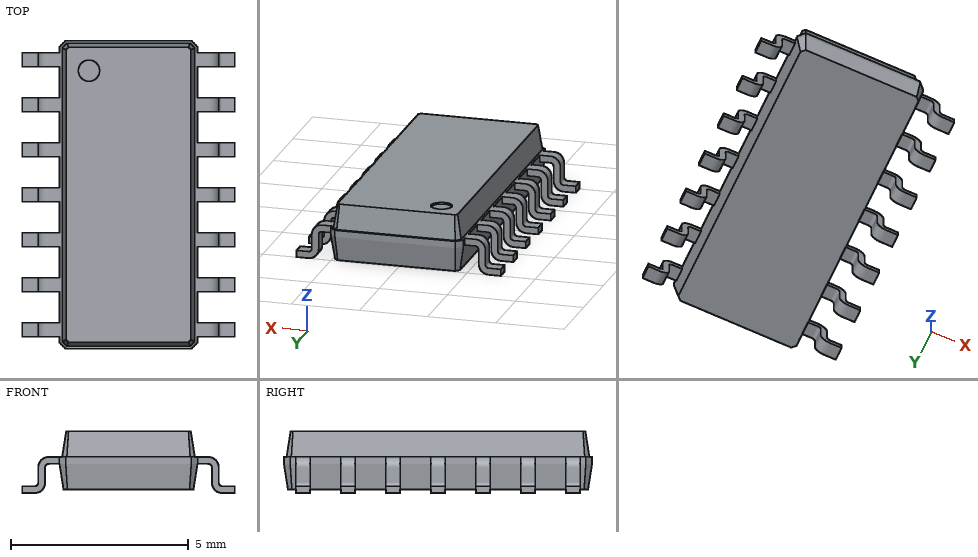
import cadquery as cq
import math

LEAD_SPAN = 6.0
BODY_LENGTH = 8.7
BODY_WIDTH = 3.9
BODY_BOTTOM = 0.1
BODY_TOP = 1.75
CORNER_CHAMFER = 0.18
DRAFT_ANGLE = 9.0
UPPER_STEP = 0.075

LEADS_PER_SIDE = 7
LEAD_PITCH = 1.27
LEAD_WIDTH = 0.4
LEAD_THICKNESS = 0.2
INNER_BEND_RADIUS = 0.1
LEG_OUTER_X = 2.55
LEAD_EMBED = 0.2

MARK_DIAMETER = 0.6
MARK_DEPTH = 0.05
MARK_X = -1.115
MARK_Y = 3.5

BODY_MIDDLE = (BODY_BOTTOM + BODY_TOP) / 2
LEAD_TOP = BODY_MIDDLE + LEAD_THICKNESS / 2
LEAD_BOTTOM = BODY_MIDDLE - LEAD_THICKNESS / 2
OUTER_BEND_RADIUS = INNER_BEND_RADIUS + LEAD_THICKNESS
LEG_INNER_X = LEG_OUTER_X - LEAD_THICKNESS


def body_outline(z, inset):
    """Closed rectangle at height z, moved in by inset, with chamfered corners."""
    half_x = BODY_WIDTH / 2 - inset
    half_y = BODY_LENGTH / 2 - inset
    chamfer = CORNER_CHAMFER - inset * (2 - math.sqrt(2))
    points = [
        (half_x, half_y - chamfer),
        (half_x - chamfer, half_y),
        (chamfer - half_x, half_y),
        (-half_x, half_y - chamfer),
        (-half_x, chamfer - half_y),
        (chamfer - half_x, -half_y),
        (half_x - chamfer, -half_y),
        (half_x, chamfer - half_y),
    ]
    return cq.Wire.makePolygon([cq.Vector(x, y, z) for x, y in points], close=True)


def body_layer(z_bottom, inset_bottom, z_top, inset_top):
    """Straight-sided layer of the body between two outlines."""
    outlines = [body_outline(z_bottom, inset_bottom), body_outline(z_top, inset_top)]
    return cq.Workplane(cq.Solid.makeLoft(outlines, True))


def make_body():
    """Drafted lower shell, upright band at lead level and drafted upper shell."""
    draft = math.tan(math.radians(DRAFT_ANGLE))
    lower_inset = (LEAD_BOTTOM - BODY_BOTTOM) * draft
    upper_inset = UPPER_STEP + (BODY_TOP - LEAD_TOP) * draft
    lower = body_layer(BODY_BOTTOM, lower_inset, LEAD_BOTTOM, 0)
    band = body_layer(LEAD_BOTTOM, 0, LEAD_TOP, 0)
    upper = body_layer(LEAD_TOP, UPPER_STEP, BODY_TOP, upper_inset)
    return lower.union(band).union(upper)


def make_lead():
    """One gull-wing lead on the +X side, centred on Y = 0."""
    root_x = BODY_WIDTH / 2 - LEAD_EMBED
    tip_x = LEAD_SPAN / 2
    shoulder_x = LEG_OUTER_X - OUTER_BEND_RADIUS
    shoulder_z = LEAD_TOP - OUTER_BEND_RADIUS
    foot_x = LEG_INNER_X + OUTER_BEND_RADIUS
    foot_z = OUTER_BEND_RADIUS
    diagonal = math.sqrt(0.5)
    inner = INNER_BEND_RADIUS * diagonal
    outer = OUTER_BEND_RADIUS * diagonal
    return (
        cq.Workplane("XZ")
        .moveTo(root_x, LEAD_TOP)
        .lineTo(shoulder_x, LEAD_TOP)
        .threePointArc((shoulder_x + outer, shoulder_z + outer), (LEG_OUTER_X, shoulder_z))
        .lineTo(LEG_OUTER_X, foot_z)
        .threePointArc((foot_x - inner, foot_z - inner), (foot_x, LEAD_THICKNESS))
        .lineTo(tip_x, LEAD_THICKNESS)
        .lineTo(tip_x, 0)
        .lineTo(foot_x, 0)
        .threePointArc((foot_x - outer, foot_z - outer), (LEG_INNER_X, foot_z))
        .lineTo(LEG_INNER_X, shoulder_z)
        .threePointArc((shoulder_x + inner, shoulder_z + inner), (shoulder_x, LEAD_BOTTOM))
        .lineTo(root_x, LEAD_BOTTOM)
        .close()
        .extrude(LEAD_WIDTH / 2, both=True)
    )


def add_leads(body):
    """Join a row of leads to each long side of the body."""
    right_lead = make_lead()
    left_lead = right_lead.mirror("YZ")
    first_y = -LEAD_PITCH * (LEADS_PER_SIDE - 1) / 2
    for index in range(LEADS_PER_SIDE):
        offset = (0, first_y + index * LEAD_PITCH, 0)
        body = body.union(right_lead.translate(offset))
        body = body.union(left_lead.translate(offset))
    return body


def cut_pin_mark(body):
    """Sink the shallow round pin 1 mark into the top face."""
    mark = (
        cq.Workplane("XY", origin=(MARK_X, MARK_Y, BODY_TOP))
        .circle(MARK_DIAMETER / 2)
        .extrude(-MARK_DEPTH)
    )
    return body.cut(mark)


result = cut_pin_mark(add_leads(make_body()))